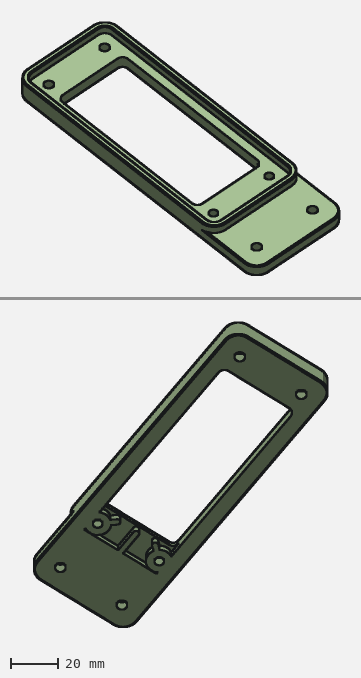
import cadquery as cq
import math

length = 150.2
width = 52.1
frame_height = 10.2
floor_height = 6.0
frame_length = 123.6
outer_radius = 7.0
edge_chamfer = 0.5

rim_thickness = 2.9
tray_radius = outer_radius - rim_thickness

window_left = 18.6
window_right = 105.6
window_width = 37.5
window_radius = 3.0

relief_height = 3.5
relief_right = 118.7
rib_width = 2.7
rib_pitch = 9.9
rib_setback = 0.5
boss_diameter = 11.4

hole_spacing_y = 32.1
left_hole_x = 10.0
inner_hole_x = 113.0
tab_hole_x = 140.0
large_hole_diameter = 4.5
small_hole_diameter = 4.0


def block(left, right, block_width, height, base=0.0):
    """Rectangular block centred on Y, standing on the plane Z = base."""
    return (
        cq.Workplane("XY", origin=((left + right) / 2, 0, base))
        .rect(right - left, block_width)
        .extrude(height)
    )


def rounded_block(left, right, block_width, height, radius, base=0.0):
    """Block with its four vertical edges rounded."""
    return block(left, right, block_width, height, base).edges("|Z").fillet(radius)


def cylinders(points, diameter, height):
    """Upright cylinders standing on the underside plane."""
    return cq.Workplane("XY").pushPoints(points).circle(diameter / 2).extrude(height)


def hole_pair(x):
    """Two points at the same X, mirrored about the centre line."""
    return [(x, -hole_spacing_y / 2), (x, hole_spacing_y / 2)]


def rib(start, end):
    """Upright wall with round ends between two points, as tall as the relief."""
    run = end[0] - start[0]
    rise = end[1] - start[1]
    middle = ((start[0] + end[0]) / 2, (start[1] + end[1]) / 2)
    return (
        cq.Workplane("XY")
        .center(*middle)
        .slot2D(math.hypot(run, rise) + rib_width, rib_width, math.degrees(math.atan2(rise, run)))
        .extrude(relief_height)
    )


plate = rounded_block(0, length, width, floor_height, outer_radius).faces("<Z or >Z").chamfer(edge_chamfer)
frame = rounded_block(0, frame_length, width, frame_height, outer_radius).faces("<Z").chamfer(edge_chamfer)
body = plate.union(frame)

tray_right = frame_length - rim_thickness
tray_width = width - 2 * rim_thickness
tray_depth = frame_height - floor_height
body = body.cut(rounded_block(rim_thickness, tray_right, tray_width, tray_depth, tray_radius, floor_height))
body = body.faces(">Z").chamfer(edge_chamfer)

body = body.cut(rounded_block(window_left, window_right, window_width, floor_height, window_radius))

relief_left = window_right - window_radius
rib_x = window_right + rib_setback + rib_width / 2
relief = block(relief_left, relief_right, window_width, relief_height)
relief = relief.cut(cylinders(hole_pair(inner_hole_x), boss_diameter, relief_height))
relief = relief.cut(rib((rib_x, 0), (relief_right, 0)))
for side in (-1, 1):
    relief = relief.cut(rib((rib_x, side * rib_pitch), (inner_hole_x, side * hole_spacing_y / 2)))
body = body.cut(relief)

body = body.cut(cylinders(hole_pair(left_hole_x) + hole_pair(tab_hole_x), large_hole_diameter, floor_height))
body = body.cut(cylinders(hole_pair(inner_hole_x), small_hole_diameter, floor_height))

result = body